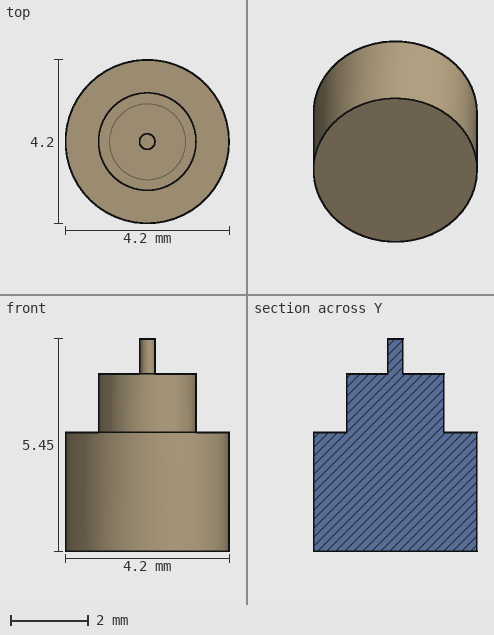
import cadquery as cq

total_height = 5.45
collar_height = 1.5
pin_height = 0.9
body_height = total_height - collar_height - pin_height

body_diameter = 4.2
collar_diameter = 2.5
insulator_diameter = 1.95
pin_diameter = 0.4

collar_top = body_height + collar_height


def cylinder(diameter, bottom, height):
    """Upright cylinder centred on the Z axis."""
    return cq.Workplane("XY").workplane(offset=bottom).circle(diameter / 2).extrude(height)


body = cylinder(body_diameter, 0, body_height)
insulator = cylinder(insulator_diameter, body_height, collar_height)
collar = cylinder(collar_diameter, body_height, collar_height).cut(insulator)
pin = cylinder(pin_diameter, collar_top, pin_height)

result = body.union(collar, clean=False)
result = result.union(insulator, clean=False)
result = result.union(pin, clean=False)